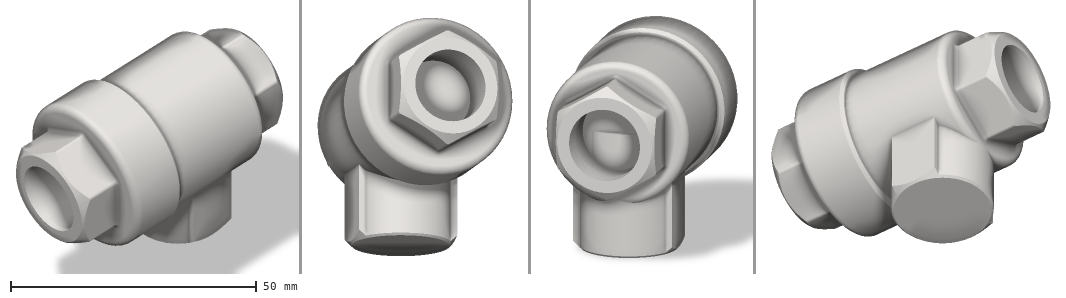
import cadquery as cq
import math

body_diameter = 30.0
collar_diameter = 32.7
body_length = 24.1
collar_length = 12.5
rim_fillet = 1.5
collar_chamfer = 0.7

hex_across_flats = 20.8
corner_angle = 30
hex_across_corners = hex_across_flats / math.cos(math.radians(corner_angle))
hex_length = 9.4
hex_corner_fillet = 0.75
hex_root_fillet = 0.75
end_face_diameter = 20.0
bore_diameter = 14.95
bore_depth = 11.0

port_diameter = 20.9
port_flat_width = 10.5
port_end_z = -26.0

body_back_y = port_diameter / 2
collar_back_y = body_back_y - body_length
collar_front_y = collar_back_y - collar_length

selection_margin = 0.01


def end_cone(height):
    """45 degree cone on +Z that narrows to the end face diameter at the given height."""
    base_radius = end_face_diameter / 2 + height
    profile = [(0, 0), (base_radius, 0), (end_face_diameter / 2, height), (0, height)]
    return cq.Workplane("XZ").polyline(profile).close().revolve(360, (0, 0), (0, 1))


def along_y(shape, start_y, direction):
    """Turn a shape built on +Z to point along Y in the given direction, from start_y."""
    return shape.rotate((0, 0, 0), (1, 0, 0), -90 * direction).translate((0, start_y, 0))


def make_body():
    body = cq.Workplane("XY").circle(body_diameter / 2).extrude(body_length)
    body = body.faces(">Z").edges().fillet(rim_fillet)
    return along_y(body, collar_back_y, 1)


def make_collar():
    collar = cq.Workplane("XY").circle(collar_diameter / 2).extrude(collar_length)
    collar = collar.faces(">Z").edges().fillet(rim_fillet)
    collar = collar.faces("<Z").edges().chamfer(collar_chamfer)
    return along_y(collar, collar_back_y, -1)


def make_hex_end():
    """Hexagonal end on +Z with rounded corners and a conical end chamfer."""
    hexagon = cq.Workplane("XY").polygon(6, hex_across_corners).extrude(hex_length)
    hexagon = hexagon.rotate((0, 0, 0), (0, 0, 1), corner_angle)
    hexagon = hexagon.edges("|Z").fillet(hex_corner_fillet)
    return hexagon.intersect(end_cone(hex_length))


def add_hex_end(part, start_y, direction):
    """Join a hexagonal end to the face at start_y, fillet its root and bore it."""
    part = part.union(along_y(make_hex_end(), start_y, direction))
    root = cq.selectors.BoxSelector(
        (-hex_across_corners / 2, start_y - selection_margin, -hex_across_corners / 2),
        (hex_across_corners / 2, start_y + selection_margin, hex_across_corners / 2),
        boundingbox=True,
    )
    part = part.edges(root).fillet(hex_root_fillet)
    bore = cq.Workplane("XY").circle(bore_diameter / 2).extrude(-bore_depth)
    return part.cut(along_y(bore, start_y + direction * hex_length, direction))


def make_side_port():
    """Side port from the body axis down to its chamfered end face."""
    port_length = -port_end_z
    boss = cq.Workplane("XY").circle(port_diameter / 2).extrude(port_length)
    flats = cq.Workplane("XY").rect(port_diameter, port_flat_width).extrude(port_length)
    port = boss.union(flats).intersect(end_cone(port_length))
    return port.rotate((0, 0, 0), (1, 0, 0), 180)


valve = make_body().union(make_collar())
valve = add_hex_end(valve, body_back_y, 1)
valve = add_hex_end(valve, collar_front_y, -1)
result = valve.union(make_side_port())